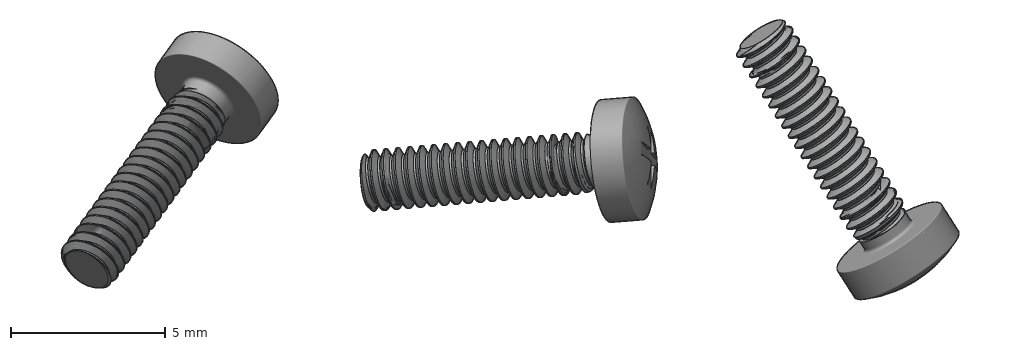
import cadquery as cq
import math

total_length = 9.58
head_diameter = 4.0
head_height = 1.58
head_wall = 1.08
edge_round = 0.03

recess_width = 0.42
recess_depth = 0.115

neck_diameter = 1.76
neck_length = 0.41
neck_fillet = 0.115

major_diameter = 2.0
thread_depth = 0.24
pitch = major_diameter / 5
crest_width = pitch / 8
flank_angle = 30
thread_embed = 0.03
fade_length = pitch
tip_chamfer = 0.14
envelope_gap = 0.05

head_radius = head_diameter / 2
neck_radius = neck_diameter / 2
major_radius = major_diameter / 2
root_radius = major_radius - thread_depth
bearing_y = total_length - head_height
rim_y = bearing_y + head_wall
thread_end_y = bearing_y - neck_length

corner_radius = recess_width / math.sqrt(2)
dome_rise = total_length - rim_y
dome_center_y = rim_y + (dome_rise**2 + corner_radius**2 - head_radius**2) / (2 * dome_rise)
dome_radius = math.hypot(head_radius, rim_y - dome_center_y)
apex_y = dome_center_y + dome_radius


def revolve_about_y(profile):
    """Close a half outline in the XY plane and spin it about the Y axis."""
    return profile.close().revolve(360, (0, 0, 0), (0, 1, 0))


def make_head():
    """Cylindrical head with a domed top."""
    half_angle = math.asin(head_radius / dome_radius) / 2
    dome_middle = (
        dome_radius * math.sin(half_angle),
        dome_center_y + dome_radius * math.cos(half_angle),
    )
    head = revolve_about_y(
        cq.Workplane("XY")
        .moveTo(0, bearing_y)
        .lineTo(head_radius, bearing_y)
        .lineTo(head_radius, rim_y)
        .threePointArc(dome_middle, (0, apex_y))
    )
    return head.edges("%CIRCLE").fillet(edge_round)


def cut_cross_recess(head):
    """Two crossed flat-bottomed slots that run out through the dome."""
    floor_y = total_length - recess_depth
    cut_height = apex_y - floor_y
    for size_x, size_z in ((head_diameter, recess_width), (recess_width, head_diameter)):
        arm = cq.Workplane("XY").box(size_x, cut_height, size_z)
        head = head.cut(arm.translate((0, floor_y + cut_height / 2, 0)))
    return head


def make_neck():
    """Plain neck with a fillet flaring out under the head."""
    flare_offset = neck_fillet * (1 - math.sqrt(0.5))
    return revolve_about_y(
        cq.Workplane("XY")
        .moveTo(0, thread_end_y)
        .lineTo(neck_radius, thread_end_y)
        .lineTo(neck_radius, bearing_y - neck_fillet)
        .threePointArc(
            (neck_radius + flare_offset, bearing_y - flare_offset),
            (neck_radius + neck_fillet, bearing_y),
        )
        .lineTo(0, bearing_y)
    )


def make_thread():
    """Right-hand thread, trimmed by the tip chamfer and by the fade-in at the neck."""
    base_radius = root_radius - thread_embed
    half_crest = crest_width / 2
    half_base = half_crest + (major_radius - base_radius) * math.tan(math.radians(flank_angle))
    ridge_length = pitch * (math.ceil(thread_end_y / pitch) + 2)
    helix = cq.Wire.makeHelix(pitch, ridge_length, base_radius)
    ridge = (
        cq.Workplane("XZ")
        .moveTo(base_radius, -half_base)
        .lineTo(major_radius, -half_crest)
        .lineTo(major_radius, half_crest)
        .lineTo(base_radius, half_base)
        .close()
        .sweep(cq.Workplane(helix), isFrenet=True)
    )
    core = cq.Workplane("XY").circle(root_radius).extrude(ridge_length + 2 * pitch)
    core = core.translate((0, 0, -pitch))
    rod = core.union(ridge).rotate((0, 0, 0), (1, 0, 0), -90).translate((0, -pitch, 0))
    fade_slope = (major_radius - neck_radius) / fade_length
    envelope = revolve_about_y(
        cq.Workplane("XY")
        .lineTo(major_radius - tip_chamfer, 0)
        .lineTo(major_radius + envelope_gap, tip_chamfer + envelope_gap)
        .lineTo(major_radius + envelope_gap, thread_end_y - fade_length - envelope_gap / fade_slope)
        .lineTo(neck_radius, thread_end_y)
        .lineTo(0, thread_end_y)
    )
    return rod.intersect(envelope)


result = make_thread().union(make_neck()).union(cut_cross_recess(make_head())).solids()